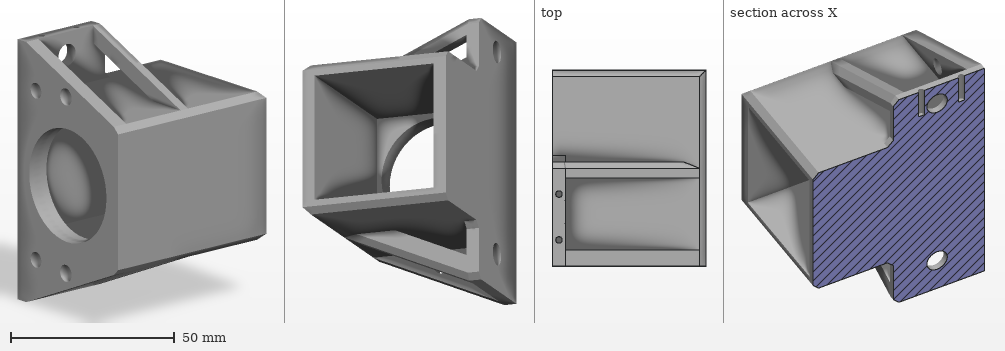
import cadquery as cq

WIDTH = 47.0
DEPTH = 60.0
HEIGHT = 83.0
BODY_HEIGHT = 47.3
WALL = 4.0
FRONT_PLATE = 7.0
EDGE_CHAMFER = 2.0
BORE_DIAMETER = 36.1

FLANGE_DEPTH = 31.95
GUSSET = 5.0
UPPER_GUSSET_DROP = 5.5
LOWER_GUSSET_DROP = 7.6

SIDE_HOLE_DIAMETER = 7.0
SIDE_HOLE_Y = 16.6
UPPER_SIDE_HOLE_Z = 34.1
LOWER_SIDE_HOLE_DROP = 30.05
SMALL_FRONT_HOLE = (5.0, 8.6, 27.0)
LARGE_FRONT_HOLE = (5.4, 22.6, 28.1)
TAP_DIAMETER = 2.0
TAP_DEPTH = 10.0
TAP_Y = (8.05, 22.1)

TOP = HEIGHT / 2
BODY_TOP = BODY_HEIGHT / 2
SLOPE_END = WIDTH - EDGE_CHAMFER


def box(x0, x1, y0, y1, z0, z1):
    size = (x1 - x0, y1 - y0, z1 - z0)
    return cq.Workplane("XY").box(*size, centered=False).translate((x0, y0, z0))


def extrude_xz(points, y0, y1):
    return cq.Workplane("XZ", origin=(0, y0, 0)).polyline(points).close().extrude(y0 - y1)


def extrude_yz(points, length):
    return cq.Workplane("YZ").polyline(points).close().extrude(length)


def cylinder_y(diameter, x, z, length):
    return cq.Workplane("XZ").center(x, z).circle(diameter / 2).extrude(-length)


def make_body():
    body = box(0, WIDTH, 0, DEPTH, -BODY_TOP, BODY_TOP)
    body = body.edges("(>X or >Y) and (>Z or <Z)").chamfer(EDGE_CHAMFER)
    inside = BODY_TOP - WALL
    return body.cut(box(WALL, WIDTH - WALL, FRONT_PLATE, DEPTH, -inside, inside))


def make_flange(gusset_drop, side_hole_z):
    """Side plate, front gusset and rear strip on the upper side of the body."""
    profile = [(0, BODY_TOP), (0, TOP), (WALL, TOP), (SLOPE_END, BODY_TOP)]
    flange = extrude_xz(profile, 0, FLANGE_DEPTH)

    flange = flange.faces(">Y").edges("not(<X or <Z)").chamfer(EDGE_CHAMFER)

    flange = flange.cut(box(WALL, WIDTH, GUSSET, FLANGE_DEPTH - GUSSET, BODY_TOP, TOP))

    slope = (TOP - BODY_TOP) / (SLOPE_END - WALL)
    opening_end = SLOPE_END - gusset_drop / slope
    opening = [(WALL, BODY_TOP), (WALL, TOP - gusset_drop), (opening_end, BODY_TOP)]
    flange = flange.cut(extrude_xz(opening, GUSSET, FLANGE_DEPTH))

    foot = [
        (FLANGE_DEPTH, BODY_TOP),
        (FLANGE_DEPTH + EDGE_CHAMFER, BODY_TOP),
        (FLANGE_DEPTH, BODY_TOP + EDGE_CHAMFER),
    ]
    flange = flange.union(extrude_yz(foot, WALL))

    side_hole = cq.Workplane("YZ").center(SIDE_HOLE_Y, side_hole_z)
    flange = flange.cut(side_hole.circle(SIDE_HOLE_DIAMETER / 2).extrude(WALL))

    for diameter, x, z in (SMALL_FRONT_HOLE, LARGE_FRONT_HOLE):
        flange = flange.cut(cylinder_y(diameter, x, z, GUSSET))
    return flange


upper_flange = make_flange(UPPER_GUSSET_DROP, UPPER_SIDE_HOLE_Z)
lower_flange = make_flange(LOWER_GUSSET_DROP, LOWER_SIDE_HOLE_DROP).mirror("XY")

for tap_y in TAP_Y:
    tap = cq.Workplane("XY", origin=(WALL / 2, tap_y, TOP))
    upper_flange = upper_flange.cut(tap.circle(TAP_DIAMETER / 2).extrude(-TAP_DEPTH))

bore = cylinder_y(BORE_DIAMETER, WIDTH / 2, 0, FRONT_PLATE)

result = make_body().union(upper_flange).union(lower_flange).cut(bore)